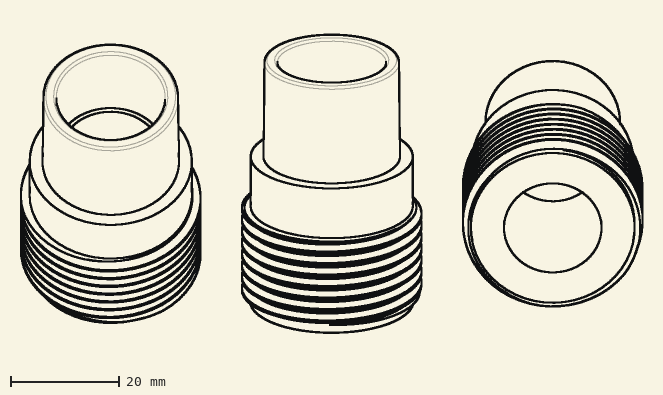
import cadquery as cq

total_height = 48.3
collar_top = 29.0
thread_top = 19.0
thread_bottom = 1.6

core_diameter = 30.3
collar_diameter = 30.0
spigot_base_diameter = 25.25
spigot_rim_diameter = 24.9

bore_diameter = 18.0
socket_mouth_diameter = 20.15
socket_floor_diameter = 19.75
socket_depth = 15.95
rim_fillet = 0.5

thread_diameter = 33.25
thread_pitch = 2.31
crest_width = 0.4
root_width = 0.4
root_overlap = 0.25


def cylinder(diameter, bottom, top):
    """Solid cylinder on the part axis between two heights."""
    return cq.Workplane("XY", origin=(0, 0, bottom)).circle(diameter / 2).extrude(top - bottom)


def taper(bottom_diameter, top_diameter, bottom, top):
    """Solid truncated cone on the part axis between two heights."""
    return (
        cq.Workplane("XZ", origin=(0, 0, bottom))
        .lineTo(bottom_diameter / 2, 0)
        .lineTo(top_diameter / 2, top - bottom)
        .lineTo(0, top - bottom)
        .close()
        .revolve(360, (0, 0, 0), (0, 1, 0))
    )


def make_ridge(bottom, top):
    """Helical ridge with its crest starting on +X at the bottom height."""
    core_radius = core_diameter / 2
    crest_radius = thread_diameter / 2
    foot_radius = core_radius - root_overlap
    half_crest = crest_width / 2
    half_root = (thread_pitch - root_width) / 2
    flank_slope = (half_root - half_crest) / (crest_radius - core_radius)
    half_foot = half_root + root_overlap * flank_slope

    helix = cq.Wire.makeHelix(thread_pitch, top - bottom, core_radius, cq.Vector(0, 0, bottom))
    return (
        cq.Workplane("XZ", origin=(0, 0, bottom))
        .moveTo(foot_radius, -half_foot)
        .lineTo(crest_radius, -half_crest)
        .lineTo(crest_radius, half_crest)
        .lineTo(foot_radius, half_foot)
        .close()
        .sweep(cq.Workplane(helix), isFrenet=True)
    )


def make_threaded_section():
    """Core and ridge, both made overlong and then trimmed flat at the two end planes."""
    ridge_bottom = thread_bottom - thread_pitch
    ridge_top = thread_top + thread_pitch
    core = cylinder(core_diameter, ridge_bottom - thread_pitch, ridge_top + thread_pitch)
    end_planes = cylinder(2 * thread_diameter, thread_bottom, thread_top)
    return core.union(make_ridge(ridge_bottom, ridge_top)).intersect(end_planes)


def make_bore():
    """Through bore that widens into a tapered socket below the rim."""
    socket_floor = total_height - socket_depth
    socket = taper(socket_floor_diameter, socket_mouth_diameter, socket_floor, total_height)
    return cylinder(bore_diameter, 0, total_height).union(socket)


plain_end = cylinder(core_diameter, 0, thread_bottom)
collar = cylinder(collar_diameter, thread_top, collar_top)
spigot = taper(spigot_base_diameter, spigot_rim_diameter, collar_top, total_height)

body = plain_end.union(make_threaded_section()).union(collar).union(spigot)
result = body.cut(make_bore()).faces(">Z").edges().fillet(rim_fillet)